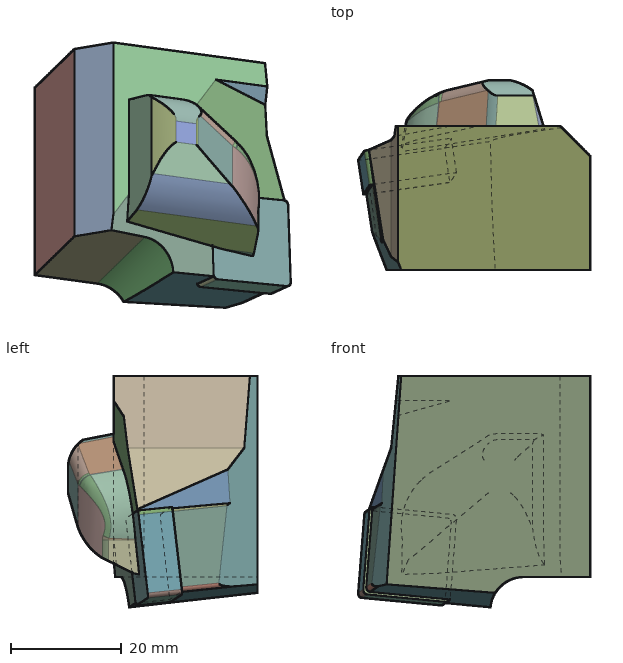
import cadquery as cq

LENGTH_X = 42.0
HEIGHT = 41.85
BLOCK_DEPTH = 26.05
CORNER_CHAMFER = 5.45
FLOOR_Z = 5.45
RELIEF_RADIUS = 6.05
RELIEF_X = 29.95
STOCK_BOTTOM_Z = -5.45
BIG = 126.0

LEFT_TOP_X = 7.25
LEFT_KNEE_X = 5.95
LEFT_KNEE_Z = 28.8
LEFT_FLARE = 0.36

FRONT_BEVEL_X, FRONT_BEVEL_Y_SLOPE, FRONT_BEVEL_Z_SLOPE = 4.87, -0.38, 0.07
SIDE_X, SIDE_Y_SLOPE, SIDE_Z_SLOPE = 3.95, -0.135, 0.054

RAKE_X_SLOPE = 0.152
RAKE_Z_SLOPE = 0.104
EDGE_SLOPE = -0.095
INSERT_CORNER = (-0.065, 19.8, 1.75)
INSERT_SIDE = 15.95
INSERT_THICKNESS = 6.3
INSERT_RADIUS = 0.85
SEAT_INSET = 0.5

RAMP_Y = 23.95
RAMP_Z = 34.1
RAMP_SLOPE = 0.65

CLAMP_START_Y = 18.9
CLAMP_LIMIT_Y = 37.8
CLAMP_TOP_Y = 34.3
CLAMP_DRAFT = 11.0
CLAMP_RIGHT_X = 35.7
CLAMP_BOTTOM_Z = 5.45
CLAMP_SHOULDER_Z = 32.75
CLAMP_SHOULDER = (23.5, CLAMP_SHOULDER_Z)
CLAMP_FLANK_END = (13.45, 25.85)
CLAMP_NECK_MID = (8.0, 19.3)
CLAMP_SHOULDER_RADIUS = 6.35 / 2
CLAMP_RIGHT_RADIUS = 1.7
CLAMP_NOSE_TOP = (7.4, 12.2)

DOME_LEFT_FOOT = (3.35, CLAMP_START_Y)
DOME_NOSE = (8.05, BLOCK_DEPTH)
DOME_NOSE_MID = (10.75, 29.4)
DOME_ROOF_START = (15.9, 32.45)
DOME_ROOF_END = (23.23, 34.25)
DOME_CREST = (27.7, 34.27)
DOME_RIGHT_TOP = (31.55, 32.45)
DOME_RIGHT_FOOT = (35.75, CLAMP_START_Y)

ARCH_LOWER_FOOT = (CLAMP_START_Y, 4.4)
ARCH_NOSE_END = (28.3, 9.05)
ARCH_BELLY = (30.85, 11.45)
ARCH_BACK_START = (32.6, 14.7)
ARCH_CREST_LOW = (CLAMP_TOP_Y, 20.7)
ARCH_CREST_HIGH = (CLAMP_TOP_Y, 24.8)
ARCH_CROWN = (33.5, 28.15)
ARCH_TOP = (31.5, 30.32)
ARCH_UPPER_FOOT = (CLAMP_START_Y, 36.1)

CLAMP_RIM = (18.7, 33.2, 25.85)
CLAMP_RIM_RADIUS = 2.5

rake_normal = cq.Vector(-RAKE_X_SLOPE, 1, -RAKE_Z_SLOPE)
edge_direction = cq.Vector(1, RAKE_X_SLOPE + RAKE_Z_SLOPE * EDGE_SLOPE, EDGE_SLOPE)
insert_plane = cq.Plane(INSERT_CORNER, edge_direction, rake_normal * -1)


def insert_box(x, y, depth, width, height, thickness):
    """Box in the tilted insert frame, placed by its low corner."""
    return (
        cq.Workplane(insert_plane)
        .box(width, height, thickness, centered=False)
        .translate(insert_plane.xDir * x + insert_plane.yDir * y + insert_plane.zDir * depth)
    )


def plate(inset, depth, side, thickness):
    """Square plate with rounded corners, parallel to the rake face."""
    outline = (
        cq.Sketch()
        .push([(inset + side / 2, inset + side / 2)])
        .rect(side, side)
        .reset()
        .vertices()
        .fillet(INSERT_RADIUS)
    )
    return (
        cq.Workplane(insert_plane)
        .workplane(offset=depth)
        .placeSketch(outline)
        .extrude(thickness)
    )


def beyond_side(x0, y_slope, z_slope):
    """Everything on the -X side of the plane x = x0 + y_slope * y + z_slope * z."""
    plane = cq.Plane((x0, 0, 0), (y_slope, 1, 0), (-1, y_slope, z_slope))
    return cq.Workplane(plane).rect(2 * BIG, 2 * BIG).extrude(BIG)


def along_y(points, y_start, y_end):
    """Prism with an XZ outline, between two Y positions."""
    return (
        cq.Workplane("XZ", origin=(0, y_start, 0)).polyline(points).close().extrude(y_start - y_end)
    )


def make_block():
    flare_x = LEFT_KNEE_X - LEFT_FLARE * (LEFT_KNEE_Z - STOCK_BOTTOM_Z)
    outline = [
        (LEFT_TOP_X, HEIGHT), (LENGTH_X, HEIGHT), (LENGTH_X, STOCK_BOTTOM_Z),
        (flare_x, STOCK_BOTTOM_Z), (LEFT_KNEE_X, LEFT_KNEE_Z),
    ]
    block = along_y(outline, 0, BLOCK_DEPTH)
    block = block.edges("|Z and >X and >Y").chamfer(CORNER_CHAMFER)
    block = block.cut(beyond_side(SIDE_X, SIDE_Y_SLOPE, SIDE_Z_SLOPE))

    support = plate(SEAT_INSET, INSERT_THICKNESS / 2, INSERT_SIDE - SEAT_INSET, BIG / 2)
    behind_front = cq.Workplane().box(BIG, BIG, BIG, centered=(True, False, True))
    block = block.union(support.intersect(behind_front))
    block = block.cut(beyond_side(FRONT_BEVEL_X, FRONT_BEVEL_Y_SLOPE, FRONT_BEVEL_Z_SLOPE))

    block = block.cut(insert_box(-BIG / 2, SEAT_INSET - BIG, -BIG / 2, BIG, BIG, BIG))
    return block.cut(floor_relief()).cut(rake_relief())


def floor_relief():
    """Raised floor at the right that ends in a concave arc."""
    center_z = FLOOR_Z - RELIEF_RADIUS
    return (
        cq.Workplane("XZ")
        .moveTo(RELIEF_X, FLOOR_Z)
        .lineTo(BIG, FLOOR_Z)
        .lineTo(BIG, -BIG)
        .lineTo(RELIEF_X - RELIEF_RADIUS, -BIG)
        .lineTo(RELIEF_X - RELIEF_RADIUS, center_z)
        .radiusArc((RELIEF_X, FLOOR_Z), RELIEF_RADIUS)
        .close()
        .extrude(-BIG)
    )


def rake_relief():
    """Space above the rake face, closed at the top by the ramp."""
    below = (
        cq.Workplane("YZ", origin=(-BIG / 2, 0, 0))
        .polyline([
            (RAMP_Y - BIG * RAMP_SLOPE, RAMP_Z - BIG),
            (RAMP_Y + BIG * RAMP_SLOPE, RAMP_Z + BIG),
            (BIG + RAMP_Y, RAMP_Z - BIG),
        ])
        .close()
        .extrude(BIG)
    )
    above_rake = insert_box(-BIG / 2, -BIG / 2, -BIG, BIG, BIG, BIG)
    return above_rake.intersect(below)


def clamp_footprint():
    """Drafted prism, wide at the right with a nose reaching over the insert."""
    prism = (
        cq.Workplane("XZ", origin=(0, CLAMP_START_Y, 0))
        .moveTo(CLAMP_RIGHT_X, CLAMP_BOTTOM_Z)
        .lineTo(CLAMP_RIGHT_X, CLAMP_SHOULDER_Z)
        .lineTo(*CLAMP_SHOULDER)
        .lineTo(*CLAMP_FLANK_END)
        .threePointArc(CLAMP_NECK_MID, CLAMP_NOSE_TOP)
        .lineTo(CLAMP_NOSE_TOP[0], CLAMP_BOTTOM_Z)
        .close()
        .extrude(CLAMP_START_Y - CLAMP_LIMIT_Y, taper=CLAMP_DRAFT)
    )
    shoulder = cq.selectors.NearestToPointSelector((CLAMP_SHOULDER[0], BLOCK_DEPTH, CLAMP_SHOULDER_Z))
    corner = cq.selectors.NearestToPointSelector((CLAMP_RIGHT_X, BLOCK_DEPTH, CLAMP_SHOULDER_Z))
    prism = prism.edges(shoulder).fillet(CLAMP_SHOULDER_RADIUS)
    return prism.edges(corner).fillet(CLAMP_RIGHT_RADIUS)


def clamp_dome():
    """Domed outline of the clamp in XY, rising from the nose to the rounded crest."""
    return (
        cq.Workplane("XY")
        .moveTo(*DOME_LEFT_FOOT)
        .lineTo(*DOME_NOSE)
        .threePointArc(DOME_NOSE_MID, DOME_ROOF_START)
        .lineTo(*DOME_ROOF_END)
        .threePointArc(DOME_CREST, DOME_RIGHT_TOP)
        .lineTo(*DOME_RIGHT_FOOT)
        .close()
        .extrude(BIG)
    )


def clamp_arch():
    """Arched outline of the clamp in YZ, falling to the tip of the nose."""
    return (
        cq.Workplane("YZ")
        .moveTo(*ARCH_LOWER_FOOT)
        .lineTo(*ARCH_NOSE_END)
        .threePointArc(ARCH_BELLY, ARCH_BACK_START)
        .lineTo(*ARCH_CREST_LOW)
        .lineTo(*ARCH_CREST_HIGH)
        .threePointArc(ARCH_CROWN, ARCH_TOP)
        .lineTo(*ARCH_UPPER_FOOT)
        .close()
        .extrude(BIG)
    )


def make_clamp():
    clamp = clamp_footprint().intersect(clamp_dome()).intersect(clamp_arch())
    return clamp.edges(cq.selectors.NearestToPointSelector(CLAMP_RIM)).fillet(CLAMP_RIM_RADIUS)


insert = plate(0, 0, INSERT_SIDE, INSERT_THICKNESS)
holder = make_block().union(make_clamp()).cut(insert)

result = cq.Compound.makeCompound([holder.val(), insert.val()])